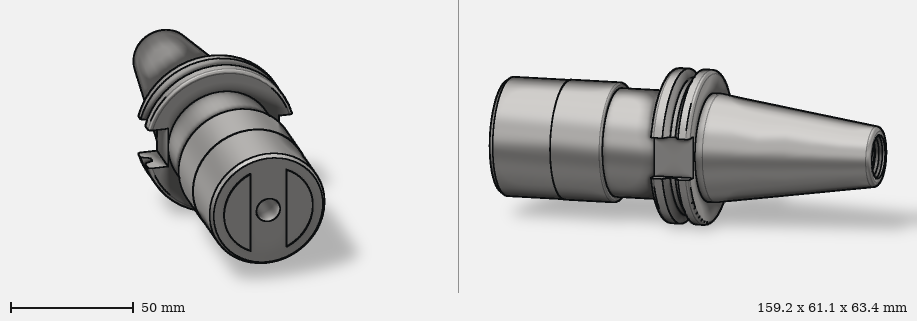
import cadquery as cq
import math


taper_slope = 7 / 24
body_diameter = 44.5
body_radius = body_diameter / 2
taper_length = 68.3
small_end_radius = body_radius - taper_length * taper_slope / 2
small_end_fillet = 1.9

flange_start = 71.3
flange_end = 87.9
flange_radius = 31.7
flange_fillet = 1.5
groove_start = 76.0
groove_width = 6.7
groove_depth = 3.5
groove_side_angle = 30
groove_side_run = groove_depth * math.tan(math.radians(groove_side_angle))
groove_fillet = 0.5
cutter_clearance = 1.6

slot_width = 16.9
front_slot_floor = 22.3
back_slot_floor = 24.7

sleeve_start = 110.8
sleeve_end = 132.5
sleeve_radius = 24.5
sleeve_fillet = 0.8
nut_radius = 24.4
nut_end = 158.8
nut_chamfer_length = 1.8
nut_chamfer_height = 1.3

total_length = 159.2
face_disc_radius = 18.8
face_slot_width = 15.3

mouth_radius = 8.9
mouth_depth = 1.1
counterbore_radius = 8.1
cone_end = 2.4
counterbore_depth = 4.0
drill_radius = 6.7
drill_depth = 31.8
drill_half_angle = 60
through_diameter = 10.0
through_radius = through_diameter / 2
drill_tip_length = (drill_radius - through_radius) / math.tan(math.radians(drill_half_angle))


def revolve_about_x(points):
    """Turn a closed outline of (position along X, radius) points about the X axis."""
    return cq.Workplane("XY").polyline(points).close().revolve(360, (0, 0, 0), (1, 0, 0))


def cylinder(start, end, radius):
    """Solid cylinder on the X axis."""
    return cq.Workplane("YZ").workplane(offset=start).circle(radius).extrude(end - start)


def make_shank():
    taper = revolve_about_x([
        (0, 0),
        (0, small_end_radius),
        (taper_length, body_radius),
        (taper_length, 0),
    ])
    taper = taper.faces("<X").edges().fillet(small_end_fillet)
    return taper.union(cylinder(taper_length, sleeve_start, body_radius))


def make_flange():
    groove_end = groove_start + groove_width
    groove_radius = flange_radius - groove_depth
    flange = cylinder(flange_start, flange_end, flange_radius)
    flange = flange.edges("%CIRCLE").fillet(flange_fillet)
    clearance_radius = flange_radius + cutter_clearance
    groove = revolve_about_x([
        (groove_start, flange_radius),
        (groove_start + groove_side_run, groove_radius),
        (groove_end - groove_side_run, groove_radius),
        (groove_end, flange_radius),
        (groove_end, clearance_radius),
        (groove_start, clearance_radius),
    ])
    bottom_edges = cq.selectors.RadiusNthSelector(0)
    return flange.cut(groove.edges(bottom_edges).fillet(groove_fillet))


def make_slot_cutter(floor, side):
    """Box that leaves a flat floor at Y = side * floor across the whole flange."""
    depth = flange_radius - floor
    width = flange_end - flange_start
    middle_x = (flange_start + flange_end) / 2
    middle_y = side * (floor + depth / 2)
    return cq.Workplane("XY").box(width, depth, slot_width).translate((middle_x, middle_y, 0))


def make_head():
    sleeve = cylinder(sleeve_start, sleeve_end, sleeve_radius)
    sleeve = sleeve.faces("<X").edges().fillet(sleeve_fillet)
    nut = revolve_about_x([
        (sleeve_end, 0),
        (sleeve_end, nut_radius),
        (nut_end - nut_chamfer_length, nut_radius),
        (nut_end, nut_radius - nut_chamfer_height),
        (nut_end, 0),
    ])
    face_disc = cylinder(nut_end, total_length, face_disc_radius)
    disc_thickness = total_length - nut_end
    disc_middle = (nut_end + total_length) / 2
    face_slot = cq.Workplane("XY").box(disc_thickness, face_slot_width, 2 * face_disc_radius)
    face_slot = face_slot.translate((disc_middle, 0, 0))
    return sleeve.union(nut).union(face_disc.cut(face_slot))


def make_bore():
    return revolve_about_x([
        (0, 0),
        (0, mouth_radius),
        (mouth_depth, mouth_radius),
        (cone_end, counterbore_radius),
        (counterbore_depth, counterbore_radius),
        (counterbore_depth, drill_radius),
        (drill_depth, drill_radius),
        (drill_depth + drill_tip_length, through_radius),
        (total_length, through_radius),
        (total_length, 0),
    ])


holder = make_flange()
holder = holder.cut(make_slot_cutter(front_slot_floor, -1))
holder = holder.cut(make_slot_cutter(back_slot_floor, 1))
holder = holder.union(make_shank()).union(make_head())
result = holder.cut(make_bore())